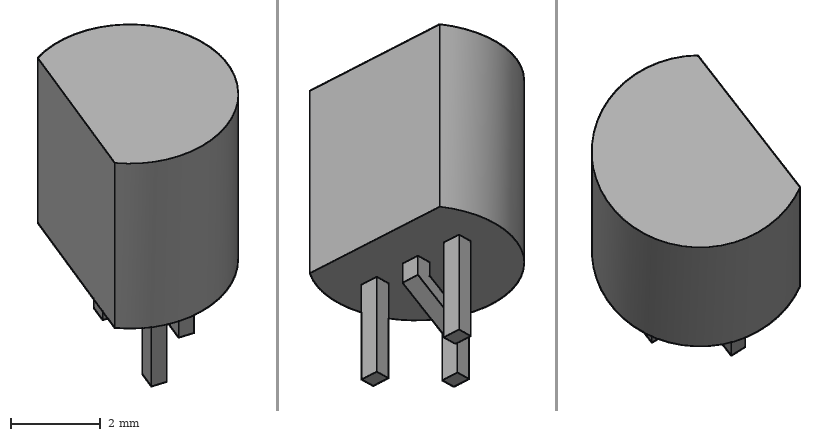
import cadquery as cq

total_height = 7.3
lead_length = 2.5
body_height = total_height - lead_length
body_radius = 2.41
body_depth = 3.74
flat_y = body_radius - body_depth

lead_width = 0.475
lead_thickness = 0.38
lead_pitch = 1.27
bend_offset = lead_pitch
bend_drop = 0.745
front_bend_depth = 0.505
back_bend_depth = 0.36


def make_body():
    cylinder = cq.Workplane("XY").circle(body_radius).extrude(body_height)
    keep = cq.Workplane("XY").box(
        2 * body_radius, body_depth, body_height, centered=(True, False, False)
    ).translate((0, flat_y, 0))
    return cylinder.intersect(keep)


def make_straight_lead(x):
    return (
        cq.Workplane("XY")
        .center(x, 0)
        .rect(lead_width, lead_thickness)
        .extrude(-lead_length)
    )


def make_bent_lead():
    front_y = -lead_thickness / 2
    back_y = lead_thickness / 2
    return (
        cq.Workplane("YZ")
        .moveTo(front_y, 0)
        .lineTo(front_y, -front_bend_depth)
        .lineTo(front_y + bend_offset, -front_bend_depth - bend_drop)
        .lineTo(front_y + bend_offset, -lead_length)
        .lineTo(back_y + bend_offset, -lead_length)
        .lineTo(back_y + bend_offset, -back_bend_depth - bend_drop)
        .lineTo(back_y, -back_bend_depth)
        .lineTo(back_y, 0)
        .close()
        .extrude(lead_width / 2, both=True)
    )


result = make_body().union(make_bent_lead())
for side in (-1, 1):
    result = result.union(make_straight_lead(side * lead_pitch))